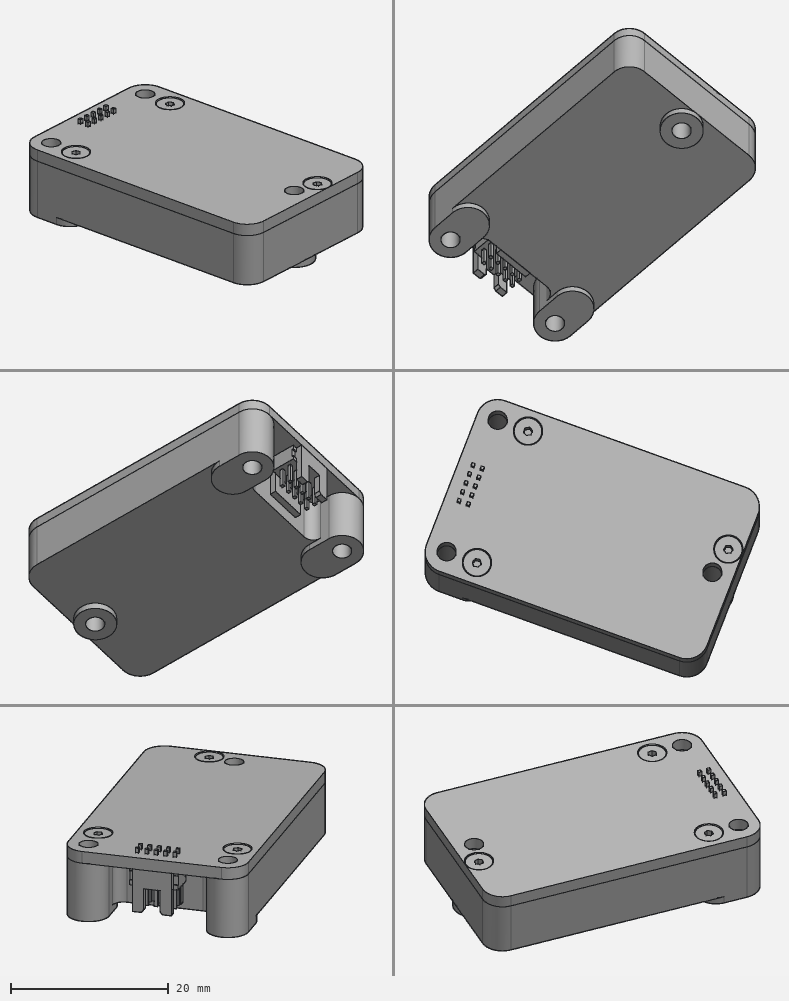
import cadquery as cq
import math


LENGTH = 38.0
WIDTH = 23.98
HEIGHT = 10.15
PIN_STICKOUT = 0.6
LID_THICKNESS = 1.6
FOOT_HEIGHT = 1.0
LID_TOP = HEIGHT - PIN_STICKOUT
LID_BOTTOM = LID_TOP - LID_THICKNESS

POST_DIAMETER = 5.47
POST_RADIUS = POST_DIAMETER / 2
MOUNT_DIAMETER = 2.45
POST_X = POST_RADIUS
POST_Y = WIDTH / 2 - POST_RADIUS
RIGHT_FOOT_X = LENGTH - POST_RADIUS
MOUNT_POINTS = [(POST_X, POST_Y), (POST_X, -POST_Y), (RIGHT_FOOT_X, 0)]
FOOT_END_X = 5.9

BAY_DEPTH = 5.6
BAY_WIDTH = 2 * (POST_Y - POST_RADIUS)
BAY_FILLET = 1.5

HEAD_DIAMETER = 3.5
COUNTERSINK_DIAMETER = 3.72
SHANK_DIAMETER = 1.8
HEAD_TOP = LID_TOP - (COUNTERSINK_DIAMETER - HEAD_DIAMETER) / 2
SCREW_BOTTOM = 3.42
SOCKET_CORNERS = 1.18
SOCKET_SIDES = 6
SOCKET_DEPTH = 1.0
LEFT_SCREW_X = 6.85
RIGHT_SCREW_X = 36.1
RIGHT_SCREW_Y = 3.57
SCREWS = [
    (LEFT_SCREW_X, POST_Y, 30),
    (LEFT_SCREW_X, -POST_Y, 8),
    (RIGHT_SCREW_X, RIGHT_SCREW_Y, 22),
]

PIN_PITCH = 1.25
PIN_ROWS = 2
PINS_PER_ROW = 5
PIN_SIZE = 0.4
PIN_BOTTOM = 2.47
SHROUD_DEPTH = 5.05
HEADER_CENTRE_X = SHROUD_DEPTH / 2
SHROUD_WIDTH = 5.15
SHROUD_BOTTOM = 2.13
SHROUD_WALL = 0.85
BASE_BOTTOM = 5.4
SLOT_WIDTH = 2.15
SLOT_FLARE_WIDTH = 2.8
SLOT_FLARE_HEIGHT = 0.38
TAB_SPAN = 6.45
TAB_DEPTH = 3.35
TAB_NOTCH_DEPTH = 0.2
TAB_NOTCH_BOTTOM = 6.05
TAB_NOTCH_TOP = 7.3

PIN_POINTS = [
    (
        HEADER_CENTRE_X + (row - (PIN_ROWS - 1) / 2) * PIN_PITCH,
        (place - (PINS_PER_ROW - 1) / 2) * PIN_PITCH,
    )
    for row in range(PIN_ROWS)
    for place in range(PINS_PER_ROW)
]


def block(x_min, x_max, y_size, z_min, z_max):
    """A box whose width along Y is centred on the X axis."""
    return cq.Workplane("XY").box(
        x_max - x_min, y_size, z_max - z_min, centered=(False, True, False)
    ).translate((x_min, 0, z_min))


def rounded_slab(z_min, z_max):
    """The full outline with rounded corners, as a slab."""
    return block(0, LENGTH, WIDTH, z_min, z_max).edges("|Z").fillet(POST_RADIUS)


def mounting_holes():
    return cq.Workplane("XY").pushPoints(MOUNT_POINTS).circle(MOUNT_DIAMETER / 2).extrude(LID_TOP)


def pins():
    return (
        cq.Workplane("XY", origin=(0, 0, PIN_BOTTOM))
        .pushPoints(PIN_POINTS)
        .rect(PIN_SIZE, PIN_SIZE)
        .extrude(HEIGHT - PIN_BOTTOM)
    )


def screw_shape(x, y, head_diameter, head_top):
    """A 90-degree countersunk head on a shank, also used to cut the matching hole."""
    head_radius = head_diameter / 2
    shank_radius = SHANK_DIAMETER / 2
    profile = [
        (0, head_top),
        (head_radius, head_top),
        (shank_radius, head_top - (head_radius - shank_radius)),
        (shank_radius, SCREW_BOTTOM),
        (0, SCREW_BOTTOM),
    ]
    return cq.Workplane("XZ").polyline(profile).close().revolve(360, (0, 0), (0, 1)).translate((x, y, 0))


def screw_holes():
    holes = cq.Workplane("XY")
    for x, y, _ in SCREWS:
        holes = holes.add(screw_shape(x, y, COUNTERSINK_DIAMETER, LID_TOP))
    return holes.combine()


def make_screw(x, y, socket_turn):
    socket = (
        cq.Workplane("XY")
        .polygon(SOCKET_SIDES, SOCKET_CORNERS)
        .extrude(SOCKET_DEPTH)
        .rotate((0, 0, 0), (0, 0, 1), socket_turn)
        .translate((x, y, HEAD_TOP - SOCKET_DEPTH))
    )
    return screw_shape(x, y, HEAD_DIAMETER, HEAD_TOP).cut(socket)


def make_lid():
    return rounded_slab(LID_BOTTOM, LID_TOP).cut(mounting_holes()).cut(screw_holes()).cut(pins())


def left_feet():
    """Two long feet with round ends, one under each post."""
    return (
        cq.Workplane("XY")
        .pushPoints([((POST_X + FOOT_END_X) / 2, POST_Y), ((POST_X + FOOT_END_X) / 2, -POST_Y)])
        .slot2D(FOOT_END_X - POST_X + POST_DIAMETER, POST_DIAMETER)
        .extrude(FOOT_HEIGHT)
    )


def right_foot():
    return cq.Workplane("XY").center(RIGHT_FOOT_X, 0).circle(POST_RADIUS).extrude(FOOT_HEIGHT)


def housing_outline():
    """A rounded rectangle with the bay cut into its left side, which leaves two posts with round ends."""
    side = WIDTH / 2
    bay_side = BAY_WIDTH / 2
    corner_shift = POST_RADIUS * math.sqrt(0.5)
    return (
        cq.Workplane("XY", origin=(0, 0, FOOT_HEIGHT))
        .moveTo(BAY_DEPTH, bay_side)
        .lineTo(POST_X, bay_side)
        .threePointArc((0, POST_Y), (POST_X, side))
        .lineTo(RIGHT_FOOT_X, side)
        .threePointArc((RIGHT_FOOT_X + corner_shift, POST_Y + corner_shift), (LENGTH, POST_Y))
        .lineTo(LENGTH, -POST_Y)
        .threePointArc((RIGHT_FOOT_X + corner_shift, -POST_Y - corner_shift), (RIGHT_FOOT_X, -side))
        .lineTo(POST_X, -side)
        .threePointArc((0, -POST_Y), (POST_X, -bay_side))
        .lineTo(BAY_DEPTH, -bay_side)
        .close()
    )


def inner_bay_corners():
    """Selects the two upright edges where the bay's sides meet its back wall."""
    reach = BAY_FILLET / 2
    return cq.selectors.BoxSelector(
        (BAY_DEPTH - reach, -BAY_WIDTH / 2 - reach, FOOT_HEIGHT),
        (BAY_DEPTH + reach, BAY_WIDTH / 2 + reach, LID_BOTTOM),
    )


def make_housing():
    body = housing_outline().extrude(LID_BOTTOM - FOOT_HEIGHT)
    body = body.edges("|Z").edges(inner_bay_corners()).fillet(BAY_FILLET)
    body = body.union(left_feet()).union(right_foot())
    return body.cut(mounting_holes()).cut(screw_holes())


def shroud_slot():
    """The slot through the front shroud wall, flared at its open end."""
    half_slot = SLOT_WIDTH / 2
    half_flare = SLOT_FLARE_WIDTH / 2
    flare_top = SHROUD_BOTTOM + SLOT_FLARE_HEIGHT
    outline = [
        (-half_flare, SHROUD_BOTTOM),
        (half_flare, SHROUD_BOTTOM),
        (half_slot, flare_top),
        (half_slot, BASE_BOTTOM),
        (-half_slot, BASE_BOTTOM),
        (-half_slot, flare_top),
    ]
    return cq.Workplane("YZ").polyline(outline).close().extrude(LENGTH)


def make_header():
    """Base with side tabs, a slotted wall in front, a plain wall behind, and the pins."""
    back = HEADER_CENTRE_X + SHROUD_DEPTH / 2
    front = HEADER_CENTRE_X - SHROUD_DEPTH / 2
    tab_front = HEADER_CENTRE_X - TAB_DEPTH / 2
    tab_back = HEADER_CENTRE_X + TAB_DEPTH / 2
    base = block(front, back, SHROUD_WIDTH, BASE_BOTTOM, LID_BOTTOM)
    tabs = block(tab_front, tab_back, TAB_SPAN, BASE_BOTTOM, LID_BOTTOM)
    for notch_start in (tab_front, tab_back - TAB_NOTCH_DEPTH):
        tabs = tabs.cut(
            block(notch_start, notch_start + TAB_NOTCH_DEPTH, TAB_SPAN, TAB_NOTCH_BOTTOM, TAB_NOTCH_TOP)
        )
    front_wall = block(front, front + SHROUD_WALL, SHROUD_WIDTH, SHROUD_BOTTOM, BASE_BOTTOM)
    back_wall = block(back - SHROUD_WALL, back, SHROUD_WIDTH, SHROUD_BOTTOM, BASE_BOTTOM)
    shroud = base.union(front_wall.cut(shroud_slot())).union(back_wall)
    return shroud.union(tabs).union(pins())


housing = make_housing()
lid = make_lid()
header = make_header()
screws = [make_screw(x, y, turn) for x, y, turn in SCREWS]

result = cq.Compound.makeCompound(
    [housing.val(), lid.val(), header.val(), *[screw.val() for screw in screws]]
)